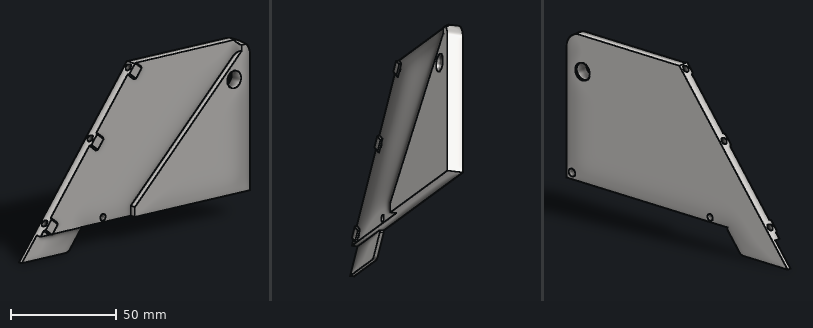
import cadquery as cq
import math


flange_thickness = 2.0
plate_thickness = 5.0
boss_thickness = 5.9
web_thickness = 8.0

length = 137.9
body_height = 75.0
flange_drop = 12.0
top_length = 70.3
corner_radius = 8.0
flange_start = 100.1
flange_step = 1.0
flange_corner_radius = 3.3

slope_run = length - top_length
slope_rise = body_height + flange_drop
slope_length = math.hypot(slope_run, slope_rise)
slope_y = -slope_run / slope_length
slope_z = -slope_rise / slope_length

web_length = 72.1
web_front_height = 5.0
shoulder_length = 5.4

screw_positions = (2.6, 41.5, 88.1)
screw_diameter = 3.3
boss_depth = 5.1
boss_flat_length = 5.8
boss_end_chamfer = 0.7

pivot_y, pivot_z, pivot_diameter = -9.9, 56.5, 8.5
pivot_recess_diameter = 9.0
pivot_recess_depth = 1.0
pin_y, pin_z, pin_diameter = -3.5, 3.5, 4.0
pin_depth = plate_thickness
fixing_y, fixing_z, fixing_diameter = -89.5, 2.5, 3.3


def side_sketch():
    """Workplane whose local axes are global Y and Z, extruding along +X."""
    return cq.Workplane("YZ")


def full_outline(thickness):
    """Complete side outline, body and flange."""
    diagonal_drop = flange_drop - flange_step
    diagonal_run = diagonal_drop * slope_run / slope_rise
    outline = (
        side_sketch()
        .polyline([
            (0, 0),
            (0, body_height),
            (-top_length, body_height),
            (-length, -flange_drop),
            (-flange_start - diagonal_run, -flange_drop),
            (-flange_start, -flange_step),
            (-flange_start, 0),
        ])
        .close()
        .extrude(thickness)
    )
    outline = outline.edges("|X").edges(">Y and >Z").fillet(corner_radius)
    flange_corner = cq.selectors.NearestToPointSelector(
        (thickness / 2, -flange_start - diagonal_run, -flange_drop)
    )
    return outline.edges(flange_corner).fillet(flange_corner_radius)


def body_outline(thickness):
    """Side outline above the flange."""
    above_flange = cq.Workplane("XY").box(
        thickness, length, body_height, centered=False
    ).translate((0, -length, 0))
    return full_outline(thickness).intersect(above_flange)


arc_inset = corner_radius * (1 - math.sqrt(0.5))
shoulder_height = body_height - arc_inset


def web():
    """Thick rear web under a straight sloping top."""
    return (
        side_sketch()
        .polyline([
            (0, 0),
            (0, shoulder_height),
            (-arc_inset, shoulder_height),
            (-web_length, web_front_height),
            (-web_length, 0),
        ])
        .close()
        .extrude(web_thickness)
        .intersect(body_outline(web_thickness))
    )


def flared_profile(plane, wall):
    """Thickness section out to a wall that curves into the plate with a concave fillet.

    Local x is the thickness and the signed position of the wall is along local y.
    """
    radius = web_thickness - plate_thickness
    outward = math.copysign(radius, wall)
    bend = 1 - math.sqrt(0.5)
    return (
        cq.Workplane(plane)
        .lineTo(web_thickness, 0)
        .lineTo(web_thickness, wall)
        .threePointArc(
            (plate_thickness + bend * radius, wall + bend * outward),
            (plate_thickness, wall + outward),
        )
        .lineTo(0, wall + outward)
        .close()
    )


def shoulder():
    """Square shoulder at the upper end of the web, filleted onto the plate."""
    under_top_wall = flared_profile("XZ", shoulder_height).extrude(web_length)
    behind_front_wall = flared_profile("XY", -shoulder_length).extrude(body_height)
    return under_top_wall.intersect(behind_front_wall).intersect(body_outline(web_thickness))


def slope_plane(distance):
    """Plane on the slanted edge face; local x is global X, local y runs up the slope."""
    return cq.Plane(
        origin=(0, -top_length + distance * slope_y, body_height + distance * slope_z),
        xDir=(1, 0, 0),
        normal=(0, slope_z, -slope_y),
    )


def boss(distance):
    """Raised pad with chamfered ends around one screw hole."""
    half_flat = boss_flat_length / 2
    half_base = half_flat + boss_end_chamfer
    return (
        cq.Workplane(slope_plane(distance))
        .polyline([
            (0, -half_base),
            (plate_thickness, -half_base),
            (boss_thickness, -half_flat),
            (boss_thickness, half_flat),
            (plate_thickness, half_base),
            (0, half_base),
        ])
        .close()
        .extrude(-boss_depth)
        .intersect(body_outline(boss_thickness))
    )


def screw_hole(distance):
    """Blind hole square to the slanted edge, centred in the boss thickness."""
    return (
        cq.Workplane(slope_plane(distance))
        .center(boss_thickness / 2, 0)
        .circle(screw_diameter / 2)
        .extrude(-boss_depth)
    )


def face_hole(y, z, diameter, depth):
    """Hole drilled from the flat outer face."""
    return side_sketch().center(y, z).circle(diameter / 2).extrude(depth)


result = full_outline(flange_thickness).union(body_outline(plate_thickness))
result = result.union(web()).union(shoulder())
for position in screw_positions:
    result = result.union(boss(position))
for position in screw_positions:
    result = result.cut(screw_hole(position))
result = result.cut(face_hole(pivot_y, pivot_z, pivot_diameter, web_thickness))
result = result.cut(face_hole(pivot_y, pivot_z, pivot_recess_diameter, pivot_recess_depth))
result = result.cut(face_hole(pin_y, pin_z, pin_diameter, pin_depth))
result = result.cut(face_hole(fixing_y, fixing_z, fixing_diameter, plate_thickness))